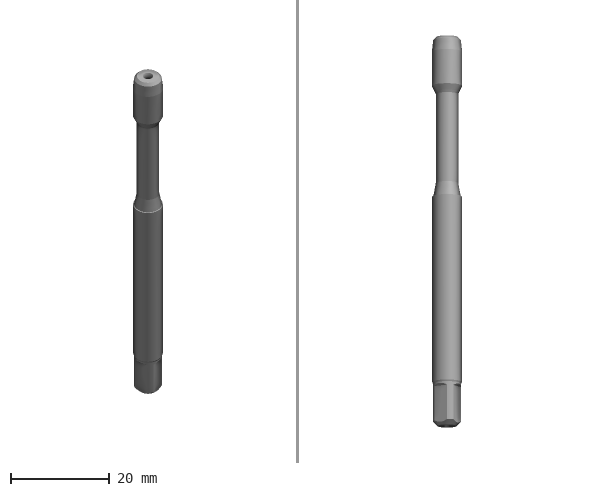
import cadquery as cq

length = 80.0

head_radius = 6.2 / 2
head_bottom = 70.0
head_taper_bottom = 77.0
head_taper_top_radius = 2.8
head_chamfer = 0.6
head_lower_cone_height = 1.2
head_lower_cone_radius = 2.5

neck_radius = 4.6 / 2
neck_top = 68.3
neck_bottom = 50.0

shank_radius = 6.0 / 2
shank_top = 47.2
shank_cone_radius = 2.8
shank_bottom = 9.0
shank_chamfer_bottom = 8.7

drive_radius = 5.8 / 2
flat_count = 4
drive_across_flats = 4.9
drive_flat_height = 8.0
flat_clearance = 0.1
drive_tip_radius = 1.9
drive_tip_height = drive_radius - drive_tip_radius

bore_diameter = 1.1
centre_diameter = 2.1
centre_angle = 60.0


def turned_body():
    """Revolve the half profile, from the lower end to the upper end."""
    profile = [
        (0, 0),
        (drive_tip_radius, 0),
        (drive_radius, drive_tip_height),
        (drive_radius, shank_chamfer_bottom),
        (shank_radius, shank_bottom),
        (shank_radius, shank_top),
        (shank_cone_radius, shank_top),
        (neck_radius, neck_bottom),
        (neck_radius, neck_top),
        (head_lower_cone_radius, head_bottom - head_lower_cone_height),
        (head_radius, head_bottom),
        (head_radius, head_taper_bottom),
        (head_taper_top_radius, length - head_chamfer),
        (head_taper_top_radius - head_chamfer, length),
        (0, length),
    ]
    return cq.Workplane("XZ").polyline(profile).close().revolve(360, (0, 0, 0), (0, 1, 0))


def add_drive_flats(body):
    """Cut four equal flats, each running out outwards at 45 degrees at its upper end."""
    flat_offset = drive_across_flats / 2
    outside = drive_radius + flat_clearance
    side_profile = [
        (flat_offset, 0),
        (outside, 0),
        (outside, drive_flat_height + outside - flat_offset),
        (flat_offset, drive_flat_height),
    ]
    cutter = cq.Workplane("XZ").polyline(side_profile).close().extrude(drive_radius, both=True)
    for side in range(flat_count):
        body = body.cut(cutter.rotate((0, 0, 0), (0, 0, 1), side * 360 / flat_count))
    return body


def add_bore(body):
    """Drill through along the axis and countersink the head face."""
    return body.faces(">Z").workplane().cskHole(bore_diameter, centre_diameter, centre_angle)


result = add_bore(add_drive_flats(turned_body()))